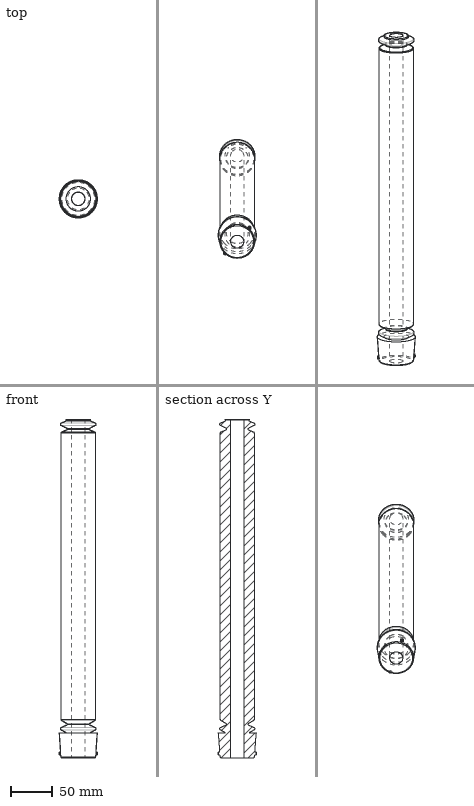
import cadquery as cq
import math

height = 408.5
tube_radius = 21.05
neck_radius = 13.0
neck_width = 1.0
collar_radius = 14.7
bore_radius = 7.95
tube_bevel = 1.02
tube_end_radius = tube_radius - tube_bevel

cap_top_radius = 23.1
cap_bottom_radius = 21.05
cap_height = 30.5
cap_bevel = 1.2

rim_radius = 21.5
rim_round = 1.5
rim_start_angle = math.radians(-60)
lower_rim_z = 35.5
lower_neck_z = 40.5
tube_bottom_z = 45.5
tube_top_z = 393.5
upper_neck_z = 396.5
upper_rim_z = 403.0
upper_collar_z = 407.0

pin_diameter = 4.0
pin_z = 5.7
pin_reach = cap_top_radius
pin_chamfer = 0.6


def add_flange(outline, rim_z, top_radius, top_z):
    """Draw a flange: lower cone, rounded rim, then an upper cone tangent to the rim."""
    center_r = rim_radius - rim_round
    run = top_radius - center_r
    rise = top_z - rim_z
    tangent_angle = math.atan2(rise, run) - math.acos(rim_round / math.hypot(run, rise))

    def rim_point(angle):
        return (center_r + rim_round * math.cos(angle), rim_z + rim_round * math.sin(angle))

    return (
        outline.lineTo(*rim_point(rim_start_angle))
        .threePointArc(rim_point(0), rim_point(tangent_angle))
        .lineTo(top_radius, top_z)
    )


def make_body():
    """Revolve the complete outer profile about the Z axis."""
    outline = (
        cq.Workplane("XZ")
        .lineTo(cap_bottom_radius - cap_bevel, 0)
        .lineTo(cap_bottom_radius, cap_bevel)
        .lineTo(cap_top_radius, cap_height)
        .lineTo(collar_radius, cap_height)
    )
    outline = add_flange(outline, lower_rim_z, neck_radius, lower_neck_z)
    outline = (
        outline.lineTo(neck_radius, lower_neck_z + neck_width)
        .lineTo(tube_end_radius, tube_bottom_z)
        .lineTo(tube_radius, tube_bottom_z + tube_bevel)
        .lineTo(tube_radius, tube_top_z - tube_bevel)
        .lineTo(tube_end_radius, tube_top_z)
        .lineTo(neck_radius, upper_neck_z)
        .lineTo(neck_radius, upper_neck_z + neck_width)
    )
    outline = add_flange(outline, upper_rim_z, collar_radius, upper_collar_z)
    outline = (
        outline.lineTo(collar_radius, height)
        .lineTo(0, height)
        .close()
    )
    return outline.revolve(360, (0, 0, 0), (0, 1, 0))


def make_pins():
    """One pin runs across the cap and stands out on both X sides."""
    pin = cq.Workplane("YZ").center(0, pin_z).circle(pin_diameter / 2)
    return pin.extrude(pin_reach, both=True).faces("<X or >X").chamfer(pin_chamfer)


def make_bore():
    """Plain bore through the full height."""
    return cq.Workplane("XY").circle(bore_radius).extrude(height)


result = make_body().union(make_pins()).cut(make_bore())